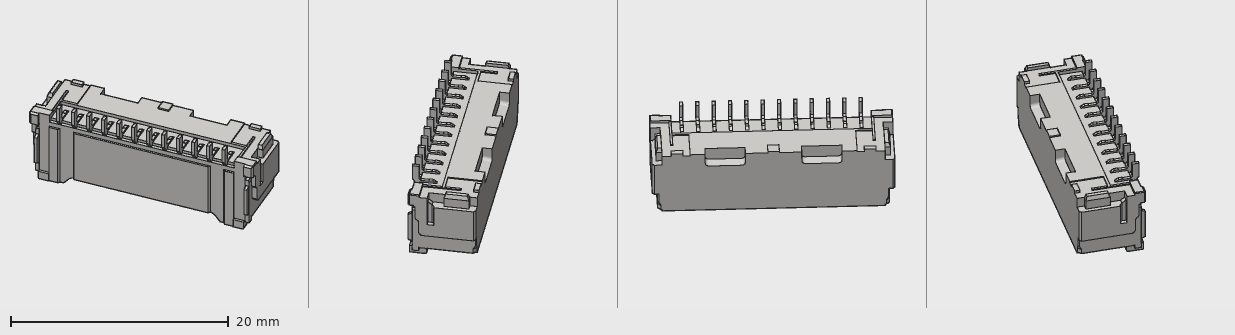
import cadquery as cq
import math


length = 22.3
depth = 6.4
height = 8.5
half_length = length / 2

contact_count = 12
contact_pitch = 1.5
contact_width = 0.3
contact_post_depth = 0.62
contact_heel_z = 7.05
contact_heel_y = 0.4
contact_blade_top = 6.95
contact_blade_step = 0.05
contact_blade_step_y = 1.55
contact_blade_back = 2.28
contact_blade_ramp = 0.35
contact_shoulder_run = 0.18
contact_shoulder_rise = 0.22

body_bottom = 0.82
end_top = 7.0
body_top = 7.11
tab_top = 7.25
front_wall_top = 6.49
channel_floor = 6.77
panel_top = 6.03

corner_front = 0.07
panel_front = 0.13
wall_front = 0.33
wall_back = 0.67
channel_back = 2.95

body_half = 10.25
column_inner = 9.2

panel_half_bottom = 6.84
panel_half_top = 6.68
rib_inner_bottom = 8.15
rib_inner_top = 8.31

foot_tip_half = 7.8
foot_root_half = 7.08
foot_root_radius = 0.8
foot_inner_limit = 6.5
foot_back = 1.68
foot_chamfer = 0.17
foot_side_chamfer = 0.1

ridge_outer = 9.41
ridge_back = 4.73
end_pocket_inner = 7.67
end_pocket_front = 3.2

end_tab_inner = 8.33
end_tab_depth = 0.5
centre_tab_half = 0.53
centre_tab_depth = 1.04
notch_inner = 2.59
notch_outer = 6.29
notch_depth = 0.92
notch_corner_radius = 0.35
notch_floor = 5.9
notch_floor_slope = 7

corner_back = 1.14
corner_bottom = 6.02
corner_bevel = 0.18
corner_top_bevel = 0.08

outer_plate_inner = 10.72
outer_plate_bottom = 2.74
outer_plate_ledge = 6.02
plate_neck_front = 0.75
plate_front = 1.08
plate_neck_bevel = 0.2
plate_upper_bevel_z = 4.28
plate_upper_bevel_rise = 0.33
plate_lower_bevel_y = 1.3
plate_lower_bevel_z = 3.03
plate_slot_front = 1.88
plate_slot_back = 2.5
plate_slot_bottom = 4.03
plate_slot_lead = 0.23
slot_ramp_rise = 0.3
inner_plate_half = 10.66
inner_plate_front = 0.4
inner_plate_bottom = 0.97
inner_plate_toe_bottom = 0.62
inner_plate_toe_back = 1.0
inner_plate_top = 5.38
inner_plate_bevel_drop = 0.2
inner_plate_bevel_run = 0.08
inner_plate_back_chamfer = 0.1
back_corner_chamfer = 0.2
low_corner_chamfer = 0.32
low_corner_ramp_bottom = 1.45
low_corner_ramp_top = 1.85

top_clip_front = 3.38
top_clip_back = 5.7
top_clip_outer = 10.77
top_clip_top = 7.33
top_clip_bevel_run = 0.15
top_clip_bevel_drop = 0.4
front_clip_inner = 10.3
front_clip_outer = 10.6
front_clip_bottom = 1.75
front_clip_top = 4.57
front_clip_bevel = 0.2


def block(x_range, y_range, z_range):
    """Axis-aligned box between the given limits."""
    size = [limits[1] - limits[0] for limits in (x_range, y_range, z_range)]
    corner = (x_range[0], y_range[0], z_range[0])
    return cq.Workplane("XY").box(*size, centered=False).translate(corner)


def side_profile(points, x_range):
    """Closed (y, z) outline swept along X."""
    sketch = cq.Workplane("YZ", origin=(x_range[0], 0, 0)).polyline(points).close()
    return sketch.extrude(x_range[1] - x_range[0])


def plan_profile(points, z_range):
    """Closed (x, y) outline swept along Z."""
    sketch = cq.Workplane("XY", origin=(0, 0, z_range[0])).polyline(points).close()
    return sketch.extrude(z_range[1] - z_range[0])


def both_ends(shape):
    """The shape together with its mirror image across X = 0."""
    return shape.union(shape.mirror("YZ"))


def make_body():
    body = block((-body_half, body_half), (wall_front, depth), (body_bottom, body_top))
    channel = block((-column_inner, column_inner), (wall_back, channel_back), (channel_floor, height))
    wall_gap = block((-column_inner, column_inner), (0, wall_back), (front_wall_top, height))
    return body.cut(channel).cut(wall_gap)


def make_end_recesses():
    """Areas at each end where the top is slightly lower than the middle."""
    outer = block((column_inner, half_length), (wall_front, depth), (end_top, height))
    ridge = block((column_inner, ridge_outer), (wall_front, ridge_back), (end_top, height))
    pocket = block((end_pocket_inner, column_inner), (end_pocket_front, depth), (end_top, height))
    return both_ends(outer.cut(ridge).union(pocket))


def make_back_notches():
    """Notches in the back edge, with rounded floors falling towards the back."""
    front = depth - notch_depth
    back_floor = notch_floor - notch_depth * math.tan(math.radians(notch_floor_slope))
    outline = [
        (front, notch_floor),
        (depth, back_floor),
        (depth, height),
        (front, height),
    ]
    notch = side_profile(outline, (notch_inner, notch_outer))
    sloped_edges = notch.edges("not (|X or |Y or |Z)")
    return both_ends(sloped_edges.fillet(notch_corner_radius))


def make_back_tabs():
    end_tab = block((end_tab_inner, ridge_outer), (depth - end_tab_depth, depth), (body_bottom, tab_top))
    centre_tab = block(
        (-centre_tab_half, centre_tab_half), (depth - centre_tab_depth, depth), (body_bottom, tab_top)
    )
    return both_ends(end_tab).union(centre_tab)


def make_front_bands():
    """Raised centre panel and the two ribs beside it, all with sloped sides."""
    panel = plan_profile(
        [
            (-panel_half_bottom, wall_front),
            (-panel_half_top, panel_front),
            (panel_half_top, panel_front),
            (panel_half_bottom, wall_front),
        ],
        (body_bottom, panel_top),
    )
    rib = plan_profile(
        [
            (rib_inner_bottom, wall_front),
            (rib_inner_top, panel_front),
            (column_inner, panel_front),
            (column_inner, wall_front),
        ],
        (0, panel_top),
    )
    return panel.union(both_ends(rib))


def make_feet():
    """Feet below both ends, tapering towards the middle of the part."""
    profile = [
        (wall_front, 0),
        (foot_back - foot_chamfer, 0),
        (foot_back, foot_chamfer),
        (foot_back, body_bottom - foot_chamfer),
        (foot_back + foot_chamfer, body_bottom),
        (wall_front, body_bottom),
    ]
    foot = side_profile(profile, (foot_inner_limit, body_half))
    taper_outline = [
        (foot_inner_limit, 0),
        (foot_tip_half, 0),
        (foot_root_half, body_bottom),
        (foot_inner_limit, body_bottom),
    ]
    taper = cq.Workplane("XZ").polyline(taper_outline).close().extrude(-depth)
    taper = taper.edges("|Y").edges(">Z").edges(">X").fillet(foot_root_radius)
    toe = block((column_inner, body_half), (corner_front, wall_front), (0, body_bottom))
    foot = foot.cut(taper).union(toe)
    return both_ends(foot.edges("|Y and >X and <Z").chamfer(foot_side_chamfer))


def make_corner_blocks():
    column = block((column_inner, body_half), (wall_front, corner_back), (body_bottom, tab_top))
    cap = block((body_half, half_length), (corner_front, corner_back), (corner_bottom, tab_top))
    cap = cap.edges("(|Z and >X and <Y) or (|X and >Z and <Y)").chamfer(corner_bevel)
    cap = cap.edges("|Y and >X and >Z").chamfer(corner_top_bevel)
    return both_ends(column.union(cap))


def make_outer_plates():
    """Latch plates on both ends, with a slot open at the top."""
    neck_bottom = plate_upper_bevel_z + plate_upper_bevel_rise
    outline = [
        (depth, outer_plate_bottom),
        (plate_lower_bevel_y, outer_plate_bottom),
        (plate_front, plate_lower_bevel_z),
        (plate_front, plate_upper_bevel_z),
        (plate_neck_front, neck_bottom),
        (plate_neck_front, corner_bottom - plate_neck_bevel),
        (plate_neck_front - plate_neck_bevel, corner_bottom),
        (plate_neck_front - plate_neck_bevel, end_top),
        (plate_slot_front, end_top),
        (plate_slot_front, outer_plate_ledge),
        (depth, outer_plate_ledge),
    ]
    plate = side_profile(outline, (outer_plate_inner, half_length))
    plate = plate.edges("|Z and >X and >Y").chamfer(back_corner_chamfer)
    slot = plan_profile(
        [
            (outer_plate_inner, plate_slot_front),
            (half_length, plate_slot_front),
            (half_length, plate_slot_back),
            (outer_plate_inner + plate_slot_lead, plate_slot_back),
            (outer_plate_inner, plate_slot_back - plate_slot_lead),
        ],
        (plate_slot_bottom, height),
    )
    ramp = side_profile(
        [
            (plate_slot_front, outer_plate_ledge),
            (plate_slot_back - plate_slot_lead, outer_plate_ledge),
            (plate_slot_front, outer_plate_ledge + slot_ramp_rise),
        ],
        (body_half, outer_plate_inner),
    )
    core_outline = [
        (depth, outer_plate_bottom),
        (plate_lower_bevel_y, outer_plate_bottom),
        (plate_front, plate_lower_bevel_z),
        (plate_front, end_top),
        (plate_slot_front, end_top),
        (plate_slot_front, outer_plate_ledge),
        (depth, outer_plate_ledge),
    ]
    core = side_profile(core_outline, (body_half, outer_plate_inner))
    return both_ends(plate.cut(slot).union(core).union(ramp))


def make_inner_plates():
    """Thinner end plates under the latch plates, reaching down to the feet."""
    outline = [
        (depth, inner_plate_bottom),
        (inner_plate_toe_back, inner_plate_bottom),
        (inner_plate_toe_back, inner_plate_toe_bottom),
        (inner_plate_front, inner_plate_toe_bottom),
        (inner_plate_front, inner_plate_top),
        (depth, inner_plate_top),
    ]
    plate = side_profile(outline, (body_half, inner_plate_half))
    plate = plate.edges("|Z and >X and >Y").chamfer(inner_plate_back_chamfer)
    plate = plate.edges("|Y and >X and >Z").chamfer(inner_plate_bevel_drop, inner_plate_bevel_run)
    return both_ends(plate.cut(make_low_corner_cut()))


def make_low_corner_cut():
    """Triangular cut that widens the back corner chamfer near the bottom."""

    def corner_triangle(leg):
        return [
            (inner_plate_half, depth),
            (inner_plate_half - leg, depth),
            (inner_plate_half, depth - leg),
        ]

    ramp = (
        cq.Workplane("XY", origin=(0, 0, low_corner_ramp_bottom))
        .polyline(corner_triangle(low_corner_chamfer))
        .close()
        .workplane(offset=low_corner_ramp_top - low_corner_ramp_bottom)
        .polyline(corner_triangle(inner_plate_back_chamfer))
        .close()
        .loft(ruled=True)
    )
    return ramp.union(plan_profile(corner_triangle(low_corner_chamfer), (0, low_corner_ramp_bottom)))


def make_hold_downs():
    bevel_start = top_clip_top - top_clip_bevel_drop
    taper_angle = math.degrees(math.atan2(top_clip_bevel_run, top_clip_bevel_drop))
    clip_width = top_clip_outer - body_half
    clip_depth = top_clip_back - top_clip_front
    clip_span = (top_clip_front, top_clip_back)
    shank = block((body_half, top_clip_outer), clip_span, (outer_plate_ledge, bevel_start))
    tapered = (
        cq.Workplane("XY", origin=(body_half, (top_clip_front + top_clip_back) / 2, bevel_start))
        .rect(2 * clip_width, clip_depth)
        .extrude(top_clip_bevel_drop, taper=taper_angle)
    )
    outer_half = block((body_half, half_length), (0, depth), (bevel_start, height))
    top_clip = shank.union(tapered.intersect(outer_half))
    front_clip = side_profile(
        [
            (inner_plate_front, front_clip_bottom - front_clip_bevel),
            (0, front_clip_bottom),
            (0, front_clip_top),
            (inner_plate_front, front_clip_top + front_clip_bevel),
        ],
        (front_clip_inner, front_clip_outer),
    )
    return both_ends(top_clip.union(front_clip))


def make_contacts():
    """Row of blades lying in the channel, each turned up into a post."""
    blade_end_top = contact_blade_top + contact_blade_step
    shoulder_y = contact_post_depth + contact_shoulder_run
    profile = [
        (contact_heel_y, front_wall_top),
        (0, contact_heel_z),
        (0, height),
        (contact_post_depth, height),
        (contact_post_depth, contact_blade_top + contact_shoulder_rise),
        (shoulder_y, contact_blade_top),
        (contact_blade_step_y, contact_blade_top),
        (contact_blade_step_y, blade_end_top),
        (contact_blade_back - contact_blade_ramp, blade_end_top),
        (contact_blade_back, channel_floor),
        (contact_blade_back, front_wall_top),
    ]
    contact = side_profile(profile, (-contact_width / 2, contact_width / 2))
    first_x = -contact_pitch * (contact_count - 1) / 2
    row = cq.Workplane("XY")
    for index in range(contact_count):
        row = row.union(contact.translate((first_x + index * contact_pitch, 0, 0)))
    return row


result = make_body().cut(make_end_recesses()).cut(make_back_notches())
for feature in (
    make_back_tabs(),
    make_front_bands(),
    make_feet(),
    make_outer_plates(),
    make_inner_plates(),
    make_corner_blocks(),
    make_hold_downs(),
    make_contacts(),
):
    result = result.union(feature)